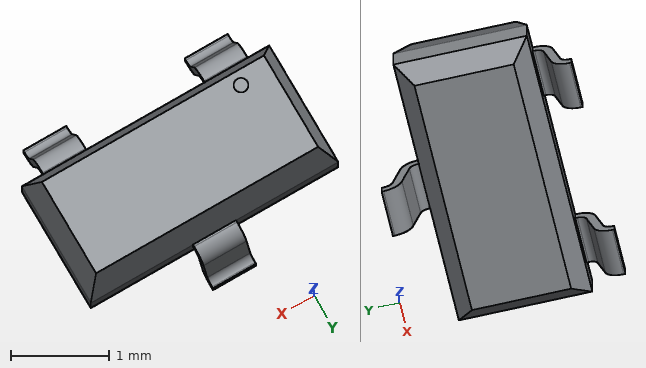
import cadquery as cq
import math

body_length = 2.92
body_width = 1.40
overall_height = 1.12
standoff = 0.10
crown_height = 0.50
crown_inset = 0.15
base_height = 0.235
base_inset = 0.18
belt_top = overall_height - crown_height
belt_bottom = standoff + base_height

lead_width = 0.508
lead_thickness = 0.10
lead_top = 0.61
lead_pitch = 1.905
shoulder_length = 0.02
toe_length = 0.02
inner_radius = 0.10
outer_radius = inner_radius + lead_thickness
bend_angle = 75.0

marker_diameter = 0.15
marker_depth = 0.05
marker_x = -lead_pitch / 2
marker_y = -0.40


def tapered_block(start_height, height, inset):
    """Belt-sized rectangle extruded to a rectangle smaller by the inset on each side.

    A negative height extrudes downwards.
    """
    return (
        cq.Workplane("XY", origin=(0, 0, start_height))
        .rect(body_length, body_width)
        .workplane(offset=height)
        .rect(body_length - 2 * inset, body_width - 2 * inset)
        .loft(ruled=True)
    )


def make_marker():
    return (
        cq.Workplane("XY", origin=(marker_x, marker_y, overall_height))
        .circle(marker_diameter / 2)
        .extrude(-marker_depth)
    )


def make_body(marker):
    belt = (
        cq.Workplane("XY", origin=(0, 0, belt_bottom))
        .rect(body_length, body_width)
        .extrude(belt_top - belt_bottom)
    )
    crown = tapered_block(belt_top, crown_height, crown_inset)
    base = tapered_block(belt_bottom, -base_height, base_inset)
    return belt.union(crown).union(base).cut(marker)


def point_on_bend(center, radius, angle):
    """Point at the given angle from vertical: a positive radius is above the center, a negative one below."""
    turn = math.radians(angle)
    return (center[0] + radius * math.sin(turn), center[1] + radius * math.cos(turn))


def make_lead():
    """Lead on the +Y side, centered on X = 0, starting at the body's side face."""
    turn = math.radians(bend_angle)
    bend_radii = inner_radius + outer_radius

    leg_drop = lead_top - lead_thickness - bend_radii * (1 - math.cos(turn))
    leg_run = leg_drop / math.tan(turn)

    side_face = body_width / 2
    upper_center = (side_face + shoulder_length, lead_top - outer_radius)
    lower_center = (upper_center[0] + bend_radii * math.sin(turn) + leg_run, outer_radius)
    toe_end = lower_center[0] + toe_length

    def upper(radius, angle):
        return point_on_bend(upper_center, radius, angle)

    def lower(radius, angle):
        return point_on_bend(lower_center, -radius, angle)

    half_angle = bend_angle / 2
    return (
        cq.Workplane("YZ", origin=(-lead_width / 2, 0, 0))
        .moveTo(side_face, lead_top)
        .lineTo(*upper(outer_radius, 0))
        .threePointArc(upper(outer_radius, half_angle), upper(outer_radius, bend_angle))
        .lineTo(*lower(inner_radius, bend_angle))
        .threePointArc(lower(inner_radius, half_angle), lower(inner_radius, 0))
        .lineTo(toe_end, lead_thickness)
        .lineTo(toe_end, 0)
        .lineTo(*lower(outer_radius, 0))
        .threePointArc(lower(outer_radius, half_angle), lower(outer_radius, bend_angle))
        .lineTo(*upper(inner_radius, bend_angle))
        .threePointArc(upper(inner_radius, half_angle), upper(inner_radius, 0))
        .lineTo(side_face, lead_top - lead_thickness)
        .close()
        .extrude(lead_width)
    )


marker = make_marker()
body = make_body(marker)

lead_places = [(0, 0), (-lead_pitch / 2, 180), (lead_pitch / 2, 180)]
leads = []
for lead_x, lead_turn in lead_places:
    lead = make_lead().rotate((0, 0, 0), (0, 0, 1), lead_turn).translate((lead_x, 0, 0))
    leads.append(lead.val())

result = cq.Compound.makeCompound([body.val(), marker.val(), *leads])